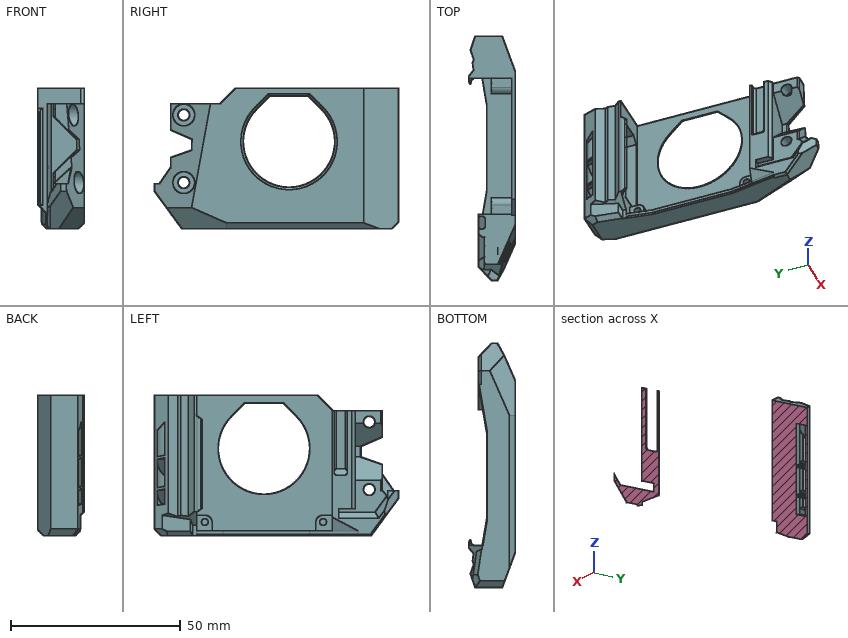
import cadquery as cq
import math

WIDTH = 13.8
LENGTH = 72.29
HEIGHT = 41.6
REACH = 200.0

PLATE_INNER_X = WIDTH - 1.1
PLATE_END_Y = 19.4
FLOOR_TOP = 1.5
DUCT_FACE_Y = 59.8
ARM_FACE_Y = 19.7
ARM_TOP = 37.0
ARM_FRONT_X = 2.85
OUTER_CHAMFER = 1.75
END_CHAMFER = 2.0

FAN_Y = 39.85
FAN_Z = 25.8
FAN_RADIUS = 13.5
FAN_FLAT_RISE = 13.4
FAN_RIM = 0.35

SCREW_SPACING = 35.0
SCREW_Z = 4.05
SCREW_RADIUS = 1.0
BOSS_FRONT_X = 6.75
BOSS_HALF = 2.15
BOSS_TOP = 6.05
BOSS_ROUND = 2.0

WAIST_X = 5.3
WAIST_START = 26.5
WAIST_END = 52.0
WAIST_SLOPE = 0.17
FLOOR_END_Y = WAIST_START - (WAIST_X - ARM_FRONT_X) / WAIST_SLOPE
EDGE_BEVEL_RISE = 0.5
EDGE_BEVEL_RUN = 0.25

UNDERCUT_RISE = 7.15
OUTER_BEND = (WIDTH, 61.9)
OUTER_END = (9.95, LENGTH)
END_CORNER = (1.9, LENGTH)
RIB_START = (0.5, 68.2)
RIB_REST = [(1.5, 65.35), (1.1, 64.4), (1.4, 62.2), (0, 60.5), (0, DUCT_FACE_Y)]
COVER_FRACTION = 0.57
COVER_START = tuple(a + COVER_FRACTION * (b - a) for a, b in zip(END_CORNER, RIB_START))
COVER_END = (2.35, 61.6)
COVER_RETURN = (4.0, 60.9)
COVER_BEVEL = 1.35

LIP_TOP = 35.6
LIP_BOTTOM = 6.9
LIP_END_SLOPE = 1.3
LIP_HOOK = [
    (0, DUCT_FACE_Y),
    (0.12, 58.6),
    (0.4, 58.1),
    (0.75, 58.5),
    (0.75, 59.2),
    (1.5, DUCT_FACE_Y),
]

DUCT_MIN_X = 3.75
DUCT_MAX_X = 11.8
DUCT_FLOOR = 7.6
DUCT_CEILING = 35.8
DUCT_CORNER = 2.0
DUCT_STRAIGHT_END = 65.5
DUCT_SIDE_END = 67.5
DUCT_BEND = (8.8, 69.5)
DUCT_OUTLET_X = 2.5
SLOT_MIN_Y = 69.2
SLOT_MAX_Y = 71.4
SLOT_SKEW = 0.45
SLOT_ROOF_SKEW = 2.4
SLOT_HEIGHTS = ((9.0, 13.4), (14.2, 22.6), (23.4, 31.2))
VANE_THICKNESS = 0.6
VANE_RISE = 1.6
VANE_SLOPE = 0.72

ARM_END_Y = 4.8
NOSE_START_Y = 8.15
NOSE_LOW_Z = 11.15
NOSE_TOP = 13.35
NOSE_FLAT_Y = 1.5
NOSE_ROOT_Z = 18.15
NOSE_TIP_X = 6.8
NOSE_FACE_LEAN = 1.05
NOSE_SLOPE = NOSE_START_Y / NOSE_LOW_Z
NOSE_INNER_CORNER = (6.6, 3.3, NOSE_TOP)
NOSE_INNER_NORMAL = (-0.95, 0.43, 1)
NOSE_ROOT_NORMAL = (-0.92, -1.2, 1)
FACET_TOP = 5.5
OUTER_TOP_X = 8.6
OUTER_LEAN = 0.44
OUTER_TILT = 0.08
OUTER_BEVEL_Y = 11.2
OUTER_BEVEL_Z = 6.2
ARM_BEVEL = 0.9

SEAT_X = 4.65
SEAT_Y = 12.9
SEAT_STEP_X = 4.0
SEAT_STEP_Y = 13.85
SEAT_BEVEL = 0.5
FOOT_TOP = 5.2
POCKET_TOP = 8.0
POCKET_Y = 17.8
LIP_ROOT_Y = 5.9
LIP_SPREAD = 1.35

BOLT_Y = 8.72
BOLT_Z = (13.65, 33.65)
BOLT_RADIUS = 1.66
HEAD_RADIUS = 3.22
HEAD_SEAT_X = 8.6

NOTCH_FLOOR_X = 11.55
NOTCH_LOW = 23.3
NOTCH_HIGH = 26.4
NOTCH_END_Y = 11.4
BREAKOUT_LENGTH = 9.0
BREAKOUT_UPPER_SLOPE = 0.4
BREAKOUT_LOWER_SLOPE = 0.33

GROOVE_MIN_Y = 15.2
GROOVE_MAX_Y = 19.1
GROOVE_DEPTH = 2.0
GROOVE_CORNER = 0.62
GROOVE_BOTTOM = 17.85


def prism_x(points, x_start, x_end):
    """Extrude a (Y, Z) outline along X."""
    plane = cq.Workplane("YZ", origin=(x_start, 0, 0))
    return plane.polyline(points).close().extrude(x_end - x_start)


def prism_y(points, y_start, y_end):
    """Extrude an (X, Z) outline along Y."""
    plane = cq.Workplane("XZ", origin=(0, y_start, 0))
    return plane.polyline(points).close().extrude(y_start - y_end)


def prism_z(points, z_start, z_end):
    """Extrude an (X, Y) outline along Z."""
    plane = cq.Workplane("XY", origin=(0, 0, z_start))
    return plane.polyline(points).close().extrude(z_end - z_start)


def rod_x(y, z, radius, x_start, x_end):
    """Round bar along X."""
    plane = cq.Workplane("YZ", origin=(x_start, y, z))
    return plane.circle(radius).extrude(x_end - x_start)


def half_space(point, normal):
    """Large block on the side of a plane that the normal points to."""
    plane = cq.Workplane(cq.Plane(origin=point, normal=normal))
    return plane.rect(REACH, REACH).extrude(REACH)


def floor_edge_x(y):
    """X of the floor's free edge: straight at the waist, flaring to both ends."""
    beyond_waist = max(0.0, WAIST_START - y, y - WAIST_END)
    return WAIST_X - WAIST_SLOPE * beyond_waist


def make_plate():
    """Thin wall on the +X side with one cut-off upper corner."""
    outline = [
        (DUCT_FACE_Y, 0),
        (PLATE_END_Y, 0),
        (PLATE_END_Y, ARM_TOP),
        (PLATE_END_Y + HEIGHT - ARM_TOP, HEIGHT),
        (DUCT_FACE_Y, HEIGHT),
    ]
    return prism_x(outline, PLATE_INNER_X, WIDTH)


def fan_opening():
    """Circle with 45 degree tangents up to a flat top, flared on the outside."""
    tangent = FAN_RADIUS / math.sqrt(2)
    flat_half = FAN_RADIUS * math.sqrt(2) - FAN_FLAT_RISE

    def outline(x):
        return (
            cq.Workplane("YZ", origin=(x, FAN_Y, FAN_Z))
            .moveTo(-tangent, tangent)
            .threePointArc((0, -FAN_RADIUS), (tangent, tangent))
            .lineTo(flat_half, FAN_FLAT_RISE)
            .lineTo(-flat_half, FAN_FLAT_RISE)
            .close()
        )

    flare_x = PLATE_INNER_X + FAN_RIM
    flare = outline(flare_x).extrude(WIDTH - flare_x, taper=-45)
    return outline(0).extrude(WIDTH).union(flare)


def floor_strip(y_start, y_end):
    """Straight stretch of the floor with a small bevel under its free edge."""
    x_start = floor_edge_x(y_start)
    x_end = floor_edge_x(y_end)
    run_x = x_end - x_start
    run_y = y_end - y_start
    outline = [(x_start, y_start), (x_end, y_end), (WIDTH, y_end), (WIDTH, y_start)]
    strip = prism_z(outline, 0, FLOOR_TOP)
    bevel_normal = (-run_y, run_x, -run_y * EDGE_BEVEL_RUN / EDGE_BEVEL_RISE)
    return strip.cut(half_space((x_start, y_start, EDGE_BEVEL_RISE), bevel_normal))


def make_floor():
    floor = floor_strip(FLOOR_END_Y, WAIST_START)
    floor = floor.union(floor_strip(WAIST_START, WAIST_END))
    return floor.union(floor_strip(WAIST_END, DUCT_FACE_Y))


def make_boss(side):
    """Screw boss; side is +1 at the duct block and -1 at the arm block."""
    screw_y = FAN_Y + side * SCREW_SPACING / 2
    wall_y = DUCT_FACE_Y if side > 0 else ARM_FACE_Y
    free_y = screw_y - side * BOSS_HALF
    plane = cq.Workplane("YZ", origin=(BOSS_FRONT_X, 0, 0))
    return (
        plane.moveTo(wall_y, 0)
        .lineTo(free_y, 0)
        .lineTo(free_y, BOSS_TOP - BOSS_ROUND)
        .radiusArc((free_y + side * BOSS_ROUND, BOSS_TOP), side * BOSS_ROUND)
        .lineTo(wall_y, BOSS_TOP)
        .close()
        .extrude(PLATE_INNER_X - BOSS_FRONT_X)
    )


def screw_holes():
    holes = cq.Workplane()
    for side in (-1, 1):
        screw_y = FAN_Y + side * SCREW_SPACING / 2
        holes = holes.add(rod_x(screw_y, SCREW_Z, SCREW_RADIUS, 0, PLATE_INNER_X))
    return holes.combine()


def make_duct_block():
    back = [(WIDTH, DUCT_FACE_Y), OUTER_BEND, OUTER_END, END_CORNER]
    column = prism_z(back + [RIB_START] + RIB_REST, 0, HEIGHT)
    column = column.cut(half_space((0, 0, UNDERCUT_RISE), (-1, 0, -1)))
    cover_front = [
        COVER_START,
        COVER_END,
        COVER_RETURN,
        (floor_edge_x(DUCT_FACE_Y), DUCT_FACE_Y),
    ]
    cover = prism_z(back + cover_front, 0, UNDERCUT_RISE)
    for (x_start, y_start), (x_end, y_end), edge_z in (
        (END_CORNER, COVER_START, END_CHAMFER),
        (COVER_START, COVER_END, COVER_BEVEL),
    ):
        run_x = x_end - x_start
        run_y = y_end - y_start
        bevel = half_space((x_start, y_start, edge_z), (run_y, -run_x, -math.hypot(run_x, run_y)))
        cover = cover.cut(bevel)
    return column.union(cover)


def make_lip():
    """Thin hook along the duct block's front edge, bevelled at both ends."""
    lip = prism_z(LIP_HOOK, 0, LIP_TOP)
    lip = lip.cut(half_space((0, 0, UNDERCUT_RISE), (-1, 0, -1)))
    lip = lip.cut(half_space((0, DUCT_FACE_Y, LIP_TOP), (0, -1, LIP_END_SLOPE)))
    return lip.cut(half_space((0, DUCT_FACE_Y, LIP_BOTTOM), (0, -1, -LIP_END_SLOPE)))


def duct_cavity():
    """Hollow that turns the air from the inner opening to the end slots."""
    plane = cq.Workplane("XY", origin=(0, 0, DUCT_FLOOR))
    cavity = (
        plane.moveTo(DUCT_MIN_X, DUCT_FACE_Y)
        .lineTo(DUCT_MAX_X, DUCT_FACE_Y)
        .lineTo(DUCT_MAX_X, DUCT_STRAIGHT_END)
        .threePointArc(DUCT_BEND, (DUCT_OUTLET_X, SLOT_MAX_Y))
        .lineTo(DUCT_OUTLET_X, SLOT_MIN_Y)
        .lineTo(DUCT_MIN_X, DUCT_SIDE_END)
        .close()
        .extrude(DUCT_CEILING - DUCT_FLOOR)
    )
    corner = half_space((DUCT_MAX_X - DUCT_CORNER, 0, DUCT_CEILING), (1, 0, 1))
    for bottom, _ in SLOT_HEIGHTS[1:]:
        top = bottom + VANE_RISE
        vane = [
            (0, top),
            (DUCT_MAX_X, top - VANE_SLOPE * DUCT_MAX_X),
            (DUCT_MAX_X, top - VANE_SLOPE * DUCT_MAX_X - VANE_THICKNESS),
            (0, top - VANE_THICKNESS),
        ]
        cavity = cavity.cut(prism_y(vane, DUCT_STRAIGHT_END, LENGTH))
    return cavity.cut(corner)


def outlet_slots():
    slots = cq.Workplane()
    for bottom, top in SLOT_HEIGHTS:
        skew = SLOT_ROOF_SKEW if top == SLOT_HEIGHTS[-1][1] else SLOT_SKEW
        outline = [
            (SLOT_MAX_Y, bottom),
            (SLOT_MIN_Y, bottom + SLOT_SKEW),
            (SLOT_MIN_Y, top + skew),
            (SLOT_MAX_Y, top),
        ]
        slots = slots.add(prism_x(outline, 0, DUCT_OUTLET_X))
    return slots.combine()


def make_arm_blank():
    """Solid arm block, undercut where the floor runs into it."""
    profile = [
        (ARM_FACE_Y, 0),
        (NOSE_START_Y, 0),
        (0, NOSE_LOW_Z),
        (0, NOSE_TOP),
        (NOSE_FLAT_Y, NOSE_TOP),
        (ARM_END_Y, NOSE_ROOT_Z),
        (ARM_END_Y, ARM_TOP),
        (ARM_FACE_Y, ARM_TOP),
    ]
    arm = prism_x(profile, ARM_FRONT_X, WIDTH)
    floor_room = prism_x(
        [(FLOOR_END_Y, 0), (ARM_FACE_Y, 0), (ARM_FACE_Y, FLOOR_TOP), (FLOOR_END_Y, FLOOR_TOP)],
        0,
        WIDTH,
    )
    rise = FACET_TOP - FLOOR_TOP
    run_y = ARM_FACE_Y - FLOOR_END_Y
    run_x = floor_edge_x(ARM_FACE_Y) - ARM_FRONT_X
    facet_normal = (-rise * run_y, rise * run_x, -run_y * run_x)
    facet = half_space((ARM_FRONT_X, FLOOR_END_Y, FLOOR_TOP), facet_normal)
    above_floor = half_space((0, 0, FLOOR_TOP), (0, 0, 1))
    return arm.cut(floor_room).cut(facet.intersect(above_floor))


def seat_recess():
    """Recess for the mating part, with a sloped foot and a sloped nose lip."""
    step = [
        (0, SEAT_STEP_Y),
        (ARM_FRONT_X, SEAT_STEP_Y),
        (SEAT_STEP_X, SEAT_Y),
        (SEAT_X, SEAT_Y),
        (SEAT_X, 0),
        (0, 0),
    ]
    recess = prism_z(step, POCKET_TOP, ARM_TOP)
    pocket = prism_z(
        [(0, 0), (SEAT_X, 0), (SEAT_X, POCKET_Y), (0, POCKET_Y)],
        FOOT_TOP,
        POCKET_TOP,
    )
    foot = half_space((ARM_FRONT_X, 0, FOOT_TOP), (1, 0, -1))
    lip = half_space((ARM_FRONT_X, LIP_ROOT_Y, FOOT_TOP), (LIP_SPREAD, -1, -NOSE_SLOPE))
    return recess.union(pocket.cut(foot)).cut(lip)


def seat_edge_bevel():
    """Bevel on the upright edge between the seat and the arm's end face."""
    corner = [
        (SEAT_X, ARM_END_Y),
        (SEAT_X, ARM_END_Y + SEAT_BEVEL),
        (SEAT_X + SEAT_BEVEL, ARM_END_Y),
    ]
    return prism_z(corner, NOSE_TOP, ARM_TOP)


def nose_valley():
    """Sloped valley between the arm's end face and the nose wall."""
    root = half_space((SEAT_X, ARM_END_Y, NOSE_TOP), NOSE_ROOT_NORMAL)
    inner_wall = half_space(NOSE_INNER_CORNER, NOSE_INNER_NORMAL)
    above_nose = half_space((0, 0, NOSE_TOP), (0, 0, 1))
    before_end = half_space((0, ARM_END_Y, 0), (0, -1, 0))
    return inner_wall.union(above_nose).intersect(root).intersect(before_end)


def v_notch():
    """45 degree V that opens toward the seat, with a flat floor."""
    outline = [
        (0, NOTCH_HIGH + NOTCH_FLOOR_X),
        (NOTCH_FLOOR_X, NOTCH_HIGH),
        (NOTCH_FLOOR_X, NOTCH_LOW),
        (0, NOTCH_LOW - NOTCH_FLOOR_X),
    ]
    return prism_y(outline, 0, SEAT_Y).intersect(half_space((0, 0, POCKET_TOP), (0, 0, 1)))


def notch_breakout():
    """Part of the notch that leaves square through the leaning outer face."""
    plane = cq.Plane(
        origin=(NOTCH_FLOOR_X, NOTCH_END_Y, 0),
        xDir=(OUTER_LEAN, 1, 0),
        normal=(1, -OUTER_LEAN, 0),
    )
    outline = [
        (0, NOTCH_LOW),
        (0, NOTCH_HIGH),
        (-BREAKOUT_LENGTH, NOTCH_HIGH + BREAKOUT_LENGTH * BREAKOUT_UPPER_SLOPE),
        (-BREAKOUT_LENGTH, NOTCH_LOW - BREAKOUT_LENGTH * BREAKOUT_LOWER_SLOPE),
    ]
    return cq.Workplane(plane).polyline(outline).close().extrude(WIDTH)


def cable_groove():
    """Upright groove with bevelled floor corners and a 45 degree run-out."""
    floor_x = ARM_FRONT_X + GROOVE_DEPTH
    wall_x = floor_x - GROOVE_CORNER
    outline = [
        (0, GROOVE_MIN_Y),
        (wall_x, GROOVE_MIN_Y),
        (floor_x, GROOVE_MIN_Y + GROOVE_CORNER),
        (floor_x, GROOVE_MAX_Y - GROOVE_CORNER),
        (wall_x, GROOVE_MAX_Y),
        (0, GROOVE_MAX_Y),
    ]
    groove = prism_z(outline, GROOVE_BOTTOM, ARM_TOP)
    groove = groove.cut(half_space((ARM_FRONT_X, 0, GROOVE_BOTTOM), (1, 0, -1)))
    for wall_y, side in ((GROOVE_MIN_Y, -1), (GROOVE_MAX_Y, 1)):
        corner = half_space((0, wall_y - side * GROOVE_CORNER, GROOVE_BOTTOM), (0, side, -1))
        groove = groove.cut(corner)
    return groove


def trim_arm(body):
    """Slanted outer faces of the arm block and its narrow bevels."""
    outer_face = half_space((OUTER_TOP_X, ARM_END_Y, ARM_TOP), (1, -OUTER_LEAN, OUTER_TILT))
    outer_bevel = half_space((WIDTH, OUTER_BEVEL_Y, OUTER_BEVEL_Z), (1, -OUTER_LEAN, -1))
    nose_face = half_space((NOSE_TIP_X, 0, 0), (-NOSE_FACE_LEAN, -1, 0))
    bevel_inner_x = ARM_FRONT_X + ARM_BEVEL
    nose_bevel_normal = (-EDGE_BEVEL_RISE / ARM_BEVEL, -1, -NOSE_SLOPE)
    nose_bevel = half_space((bevel_inner_x, NOSE_START_Y, 0), nose_bevel_normal)
    under_bevel = half_space((bevel_inner_x, 0, 0), (-EDGE_BEVEL_RISE, 0, -ARM_BEVEL))
    under_bevel = under_bevel.intersect(half_space((0, FLOOR_END_Y, 0), (0, -1, 0)))
    for tool in (outer_face, outer_bevel, nose_face, nose_bevel, under_bevel):
        body = body.cut(tool)
    return body


def bolt_holes():
    holes = cq.Workplane()
    for z in BOLT_Z:
        holes = holes.add(rod_x(BOLT_Y, z, BOLT_RADIUS, 0, WIDTH))
        holes = holes.add(rod_x(BOLT_Y, z, HEAD_RADIUS, HEAD_SEAT_X, WIDTH))
    return holes.combine()


def make_arm():
    arm = make_arm_blank()
    for tool in (seat_recess(), seat_edge_bevel(), nose_valley(), v_notch(), notch_breakout()):
        arm = arm.cut(tool)
    return arm.cut(cable_groove())


duct = make_duct_block().cut(duct_cavity()).cut(outlet_slots())
body = make_plate().cut(fan_opening())
body = body.union(make_boss(1)).union(make_boss(-1))
body = body.union(duct).union(make_lip())
body = body.union(make_arm()).union(make_floor())
body = trim_arm(body)
body = body.cut(screw_holes()).cut(bolt_holes())
body = body.cut(half_space((WIDTH - OUTER_CHAMFER, 0, 0), (1, 0, -1)))
body = body.cut(half_space((0, LENGTH - END_CHAMFER, 0), (0, 1, -1)))

result = body